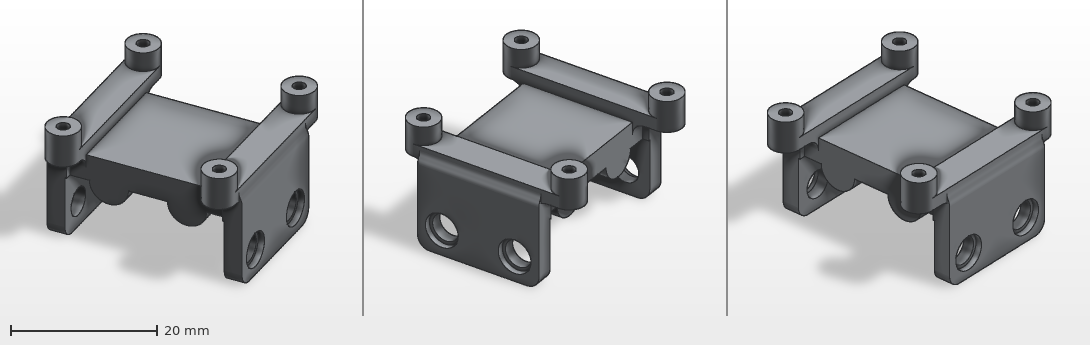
import cadquery as cq
import math

width = 30.0
height = 19.0
half_width = width / 2

boss_spacing = 24.0
boss_diameter = 5.0
boss_radius = boss_diameter / 2
boss_hole_diameter = 1.92
boss_height = 5.0

beam_thickness = 2.0
beam_x = boss_spacing / 2
beam_bottom = height - boss_height
beam_top = beam_bottom + beam_thickness
beam_fillet = 2.0

body_y = -1.0

plate_length = 18.0
plate_thickness = 4.0
plate_bottom = beam_bottom - plate_thickness
rib_spacing = 12.0
rib_radius = 3.0

leg_length = 20.0
leg_thickness = 2.75
leg_head_thickness = 3.0
leg_corner_radius = 2.0
blend_radius = 2.0
blend_middle = 14.28

leg_hole_spacing = 12.0
leg_hole_z = 4.0
leg_hole_diameter = 4.35
counterbore_diameter = 5.4
counterbore_depth = 1.0


def make_plate():
    """Centre plate with two half-round ribs running along Y."""
    plate = cq.Workplane("XY").workplane(offset=plate_bottom).rect(boss_spacing, plate_length)
    plate = plate.extrude(plate_thickness)
    ribs = (
        cq.Workplane("XZ")
        .pushPoints([(-rib_spacing / 2, plate_bottom), (rib_spacing / 2, plate_bottom)])
        .circle(rib_radius)
        .extrude(plate_length / 2, both=True)
    )
    return plate.union(ribs).translate((0, body_y, 0))


def make_beam():
    """Beam at +X with its underside blended by concave arcs into the plate end faces."""
    plate_front = body_y - plate_length / 2
    plate_back = body_y + plate_length / 2
    arc_inset = beam_fillet * (1 - math.sqrt(0.5))
    front_end = plate_front - beam_fillet
    back_end = plate_back + beam_fillet
    fillet_bottom = beam_bottom - beam_fillet
    beam = (
        cq.Workplane("XY")
        .workplane(offset=beam_bottom)
        .center(beam_x, 0)
        .rect(boss_diameter, boss_spacing)
        .extrude(beam_thickness)
    )
    web = (
        cq.Workplane("YZ")
        .workplane(offset=beam_x - boss_radius)
        .moveTo(front_end, beam_bottom)
        .lineTo(back_end, beam_bottom)
        .threePointArc((plate_back + arc_inset, beam_bottom - arc_inset), (plate_back, fillet_bottom))
        .lineTo(plate_front, fillet_bottom)
        .threePointArc((plate_front - arc_inset, beam_bottom - arc_inset), (front_end, beam_bottom))
        .close()
        .extrude(boss_diameter)
    )
    return beam.union(web)


def make_leg():
    """Leg at +X, its outer face easing into the beam side through an S-shaped blend."""
    beam_side = beam_x + boss_radius
    half_step = (half_width - beam_side) / 2
    middle_x = beam_side + half_step
    arc_angle = math.acos(1 - half_step / blend_radius)
    arc_rise = blend_radius * math.sin(arc_angle)
    bow_x = blend_radius * (1 - math.cos(arc_angle / 2))
    bow_z = blend_radius * math.sin(arc_angle / 2)
    blend_start = blend_middle - arc_rise
    blend_end = blend_middle + arc_rise
    head_x = half_width - leg_head_thickness
    inner_x = half_width - leg_thickness
    leg = (
        cq.Workplane("XZ")
        .moveTo(inner_x, 0)
        .lineTo(half_width, 0)
        .lineTo(half_width, blend_start)
        .threePointArc((half_width - bow_x, blend_start + bow_z), (middle_x, blend_middle))
        .threePointArc((beam_side + bow_x, blend_end - bow_z), (beam_side, blend_end))
        .lineTo(head_x, blend_end)
        .lineTo(head_x, plate_bottom)
        .lineTo(inner_x, plate_bottom)
        .close()
        .extrude(leg_length / 2, both=True)
    )
    leg = leg.faces("<Z").edges("|X").fillet(leg_corner_radius)
    hole_points = [(-leg_hole_spacing / 2, leg_hole_z), (leg_hole_spacing / 2, leg_hole_z)]
    holes = (
        cq.Workplane("YZ").workplane(offset=inner_x)
        .pushPoints(hole_points).circle(leg_hole_diameter / 2).extrude(leg_thickness)
    )
    counterbores = (
        cq.Workplane("YZ").workplane(offset=half_width - counterbore_depth)
        .pushPoints(hole_points).circle(counterbore_diameter / 2).extrude(counterbore_depth)
    )
    return leg.cut(holes).cut(counterbores).translate((0, body_y, 0))


def boss_cylinders(radius, bottom):
    """Four upright cylinders from the given level to the boss tops."""
    return (
        cq.Workplane("XY").workplane(offset=bottom)
        .rect(boss_spacing, boss_spacing, forConstruction=True)
        .vertices().circle(radius).extrude(height - bottom)
    )


side = make_beam().union(make_leg())
result = make_plate().union(side).union(side.mirror("YZ"))
result = result.union(boss_cylinders(boss_radius, beam_bottom))
result = result.cut(boss_cylinders(boss_hole_diameter / 2, plate_bottom))